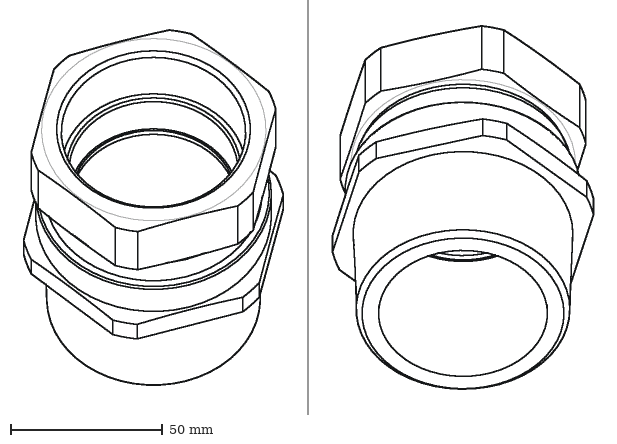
import cadquery as cq
import math

TOTAL_HEIGHT = 97.75
FLANGE_BOTTOM = 39.7
COLLAR_BOTTOM = 48.8
COLLAR_TOP = 62.0
SHOULDER_TOP = 71.8
NUT_HEX_BOTTOM = 74.7
SPIGOT_TOP = 75.6
LIP_TOP = 59.2
LIP_THICKNESS = 2.15

THREAD_TOP_RADIUS = 36.4
THREAD_END_RADIUS = 35.4
THREAD_CHAMFER = 2.0

FLANGE_ACROSS_FLATS = 80.0
FLANGE_CORNER_RADIUS = 44.0
COLLAR_RADIUS = 39.0
COLLAR_EDGE = 0.7
SHOULDER_RADIUS = 36.0
BORE_RADIUS = 28.0
LIP_RADIUS = 27.3
SPIGOT_CHAMFER = 0.9

NUT_ACROSS_FLATS = 75.3
NUT_CORNER_RADIUS = 41.4
NUT_FACE_RADIUS = 37.1
NUT_NECK_RADIUS = 35.0
NUT_BORE_RADIUS = 30.5
NUT_BORE_CHAMFER = 1.6

CORNER_CONE_ANGLE = 10.0


def hexagon(across_flats, bottom, top):
    """Hexagonal prism with two flats facing +X and -X."""
    across_corners = across_flats / math.cos(math.radians(30))
    prism = cq.Workplane("XY").polygon(6, across_corners).extrude(top - bottom)
    return prism.rotate((0, 0, 0), (0, 0, 1), 30).translate((0, 0, bottom))


def revolve_profile(points):
    """Revolve a closed (radius, height) profile about Z."""
    return cq.Workplane("XZ").polyline(points).close().revolve(360, (0, 0), (0, 1))


def cone_drop(face_radius, corner_radius):
    """Height lost to the corner cone at the outer corners."""
    return (corner_radius - face_radius) * math.tan(math.radians(CORNER_CONE_ANGLE))


def make_body():
    lip_bottom = LIP_TOP - LIP_THICKNESS
    flange_drop = cone_drop(COLLAR_RADIUS, FLANGE_CORNER_RADIUS)
    flange_envelope = revolve_profile([
        (0, FLANGE_BOTTOM),
        (FLANGE_CORNER_RADIUS, FLANGE_BOTTOM),
        (FLANGE_CORNER_RADIUS, COLLAR_BOTTOM - flange_drop),
        (COLLAR_RADIUS, COLLAR_BOTTOM),
        (0, COLLAR_BOTTOM),
    ])
    flange = hexagon(FLANGE_ACROSS_FLATS, FLANGE_BOTTOM, COLLAR_BOTTOM).intersect(flange_envelope)

    turned = revolve_profile([
        (0, 0),
        (THREAD_END_RADIUS - THREAD_CHAMFER, 0),
        (THREAD_END_RADIUS, THREAD_CHAMFER),
        (THREAD_TOP_RADIUS, FLANGE_BOTTOM),
        (COLLAR_RADIUS, FLANGE_BOTTOM),
        (COLLAR_RADIUS, COLLAR_TOP - COLLAR_EDGE),
        (COLLAR_RADIUS - COLLAR_EDGE, COLLAR_TOP),
        (SHOULDER_RADIUS, COLLAR_TOP),
        (SHOULDER_RADIUS, SHOULDER_TOP),
        (NUT_BORE_RADIUS, SHOULDER_TOP),
        (NUT_BORE_RADIUS, SPIGOT_TOP),
        (0, SPIGOT_TOP),
    ])
    bore = revolve_profile([
        (0, 0),
        (BORE_RADIUS, 0),
        (BORE_RADIUS, lip_bottom),
        (LIP_RADIUS, lip_bottom),
        (LIP_RADIUS, LIP_TOP),
        (BORE_RADIUS, LIP_TOP),
        (BORE_RADIUS, SPIGOT_TOP - SPIGOT_CHAMFER),
        (BORE_RADIUS + SPIGOT_CHAMFER, SPIGOT_TOP),
        (0, SPIGOT_TOP),
    ])
    return turned.union(flange).cut(bore)


def make_nut():
    drop = cone_drop(NUT_FACE_RADIUS, NUT_CORNER_RADIUS)
    envelope = revolve_profile([
        (0, NUT_HEX_BOTTOM),
        (NUT_FACE_RADIUS, NUT_HEX_BOTTOM),
        (NUT_CORNER_RADIUS, NUT_HEX_BOTTOM + drop),
        (NUT_CORNER_RADIUS, TOTAL_HEIGHT - drop),
        (NUT_FACE_RADIUS, TOTAL_HEIGHT),
        (0, TOTAL_HEIGHT),
    ])
    head = hexagon(NUT_ACROSS_FLATS, NUT_HEX_BOTTOM, TOTAL_HEIGHT).intersect(envelope)
    neck = revolve_profile([
        (0, SHOULDER_TOP),
        (NUT_NECK_RADIUS, SHOULDER_TOP),
        (NUT_NECK_RADIUS, NUT_HEX_BOTTOM),
        (0, NUT_HEX_BOTTOM),
    ])
    bore = revolve_profile([
        (0, SHOULDER_TOP),
        (NUT_BORE_RADIUS, SHOULDER_TOP),
        (NUT_BORE_RADIUS, TOTAL_HEIGHT - NUT_BORE_CHAMFER),
        (NUT_BORE_RADIUS + NUT_BORE_CHAMFER, TOTAL_HEIGHT),
        (0, TOTAL_HEIGHT),
    ])
    return head.union(neck).cut(bore)


body = make_body()
nut = make_nut()
result = cq.Compound.makeCompound([body.val(), nut.val()])